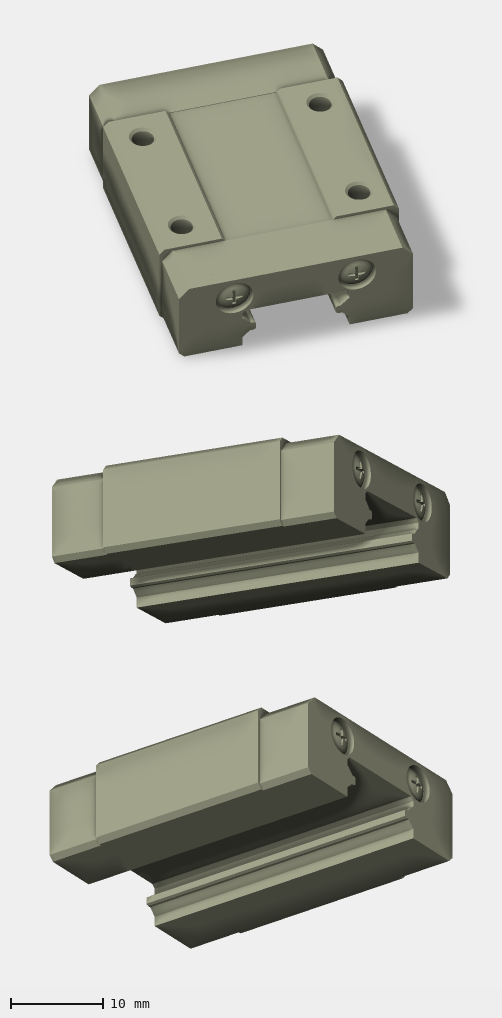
import cadquery as cq
import math

carriage_length = 34.7
block_length = 21.72
block_width = 27.0
block_height = 10.0
cap_width = 26.37
cap_height = 9.6
seal_thickness = 1.55

block_chamfer = 0.6
cap_top_chamfer = 1.18
bottom_chamfer = 0.6

groove_floor_width = 12.0
groove_depth = 0.45

channel_half_width = 6.05
channel_height = 4.95
channel_chamfer = 0.4
lip_half_gap = 4.5
lip_root_bottom = 5.2
lip_root_top = 5.05
lip_bevel_half_gap = 4.85
lip_start_z = 1.15
lip_bottom_z = 1.95
lip_edge_bottom_z = 2.08
lip_top_z = 3.0
lip_knee_half_gap = 5.83
lip_knee_z = 3.75
lip_end_z = 3.85
lip_edge_radius = 0.28

hole_spacing_x = 15.0
hole_spacing_y = 20.0
hole_diameter = 2.43
hole_mouth_diameter = 3.02
hole_depth = 4.0
drill_tip_angle = 118

screw_spacing = 13.8
screw_z = 7.0
screw_hole_diameter = 4.25
screw_head_diameter = 3.95
screw_rim_height = 0.8
screw_dome_height = 0.73
cross_length = 1.9
cross_width = 0.38
cross_depth = 0.4

seal_outer_x = carriage_length / 2
seal_inner_x = seal_outer_x - seal_thickness
block_end_x = block_length / 2

sides = (-1, 1)
end_angles = (0, 180)


def chamfered_outline(width, height, top_chamfer):
    """Cross-section outline in YZ with chamfered top and bottom corners."""
    half = width / 2
    right_side = [
        (half - bottom_chamfer, 0),
        (half, bottom_chamfer),
        (half, height - top_chamfer),
        (half - top_chamfer, height),
    ]
    left_side = [(-y, z) for y, z in reversed(right_side)]
    return right_side + left_side


def channel_outline():
    """Rail channel section in YZ, with a lip on each side, before the lip edges are rounded."""
    right_side = [
        (channel_half_width, 0),
        (channel_half_width, lip_start_z),
        (lip_root_bottom, lip_bottom_z),
        (lip_bevel_half_gap, lip_bottom_z),
        (lip_half_gap, lip_edge_bottom_z),
        (lip_half_gap, lip_top_z),
        (lip_root_top, lip_top_z),
        (lip_knee_half_gap, lip_knee_z),
        (channel_half_width, lip_end_z),
        (channel_half_width, channel_height - channel_chamfer),
        (channel_half_width - channel_chamfer, channel_height),
    ]
    left_side = [(-y, z) for y, z in reversed(right_side)]
    return right_side + left_side


def bar(outline, start_x, end_x):
    """Prism along X with the given YZ outline."""
    return cq.Workplane("YZ", origin=(start_x, 0, 0)).polyline(outline).close().extrude(end_x - start_x)


def cut_channel(body, start_x, end_x):
    """Cut the rail channel, rounding the upper edge of both lips."""
    channel = bar(channel_outline(), start_x, end_x)
    middle_x = (start_x + end_x) / 2
    for side in sides:
        lip_edge = cq.selectors.NearestToPointSelector((middle_x, side * lip_half_gap, lip_top_z))
        channel = channel.edges(lip_edge).fillet(lip_edge_radius)
    return body.cut(channel)


def mounting_hole_cutter():
    """Drilled hole with a chamfered mouth and a conical tip, opening upward at Z = 0."""
    radius = hole_diameter / 2
    mouth_radius = hole_mouth_diameter / 2
    tip_depth = radius / math.tan(math.radians(drill_tip_angle / 2))
    half_section = [
        (0, 0),
        (mouth_radius, 0),
        (radius, radius - mouth_radius),
        (radius, -hole_depth),
        (0, -hole_depth - tip_depth),
    ]
    return cq.Workplane("XZ").polyline(half_section).close().revolve(360, (0, 0), (0, 1))


def make_block():
    """Carriage block with a grooved top and four mounting holes."""
    body = bar(chamfered_outline(block_width, block_height, block_chamfer), -block_end_x, block_end_x)
    body = cut_channel(body, -block_end_x, block_end_x)
    floor_half = groove_floor_width / 2
    top_half = floor_half + groove_depth
    floor_z = block_height - groove_depth
    groove = [
        (-top_half, block_height),
        (-floor_half, floor_z),
        (floor_half, floor_z),
        (top_half, block_height),
    ]
    body = body.cut(bar(groove, -block_end_x, block_end_x))
    for side_x in sides:
        for side_y in sides:
            place = (side_x * hole_spacing_x / 2, side_y * hole_spacing_y / 2, block_height)
            body = body.cut(mounting_hole_cutter().translate(place))
    return body


def make_cap():
    """End cap at the +X end."""
    body = bar(chamfered_outline(cap_width, cap_height, cap_top_chamfer), block_end_x, seal_inner_x)
    return cut_channel(body, block_end_x, seal_inner_x)


def screw_plane(side, height=0):
    """Plane across a screw axis, at a height above the face the head sits on."""
    return cq.Workplane("YZ", origin=(seal_inner_x + height, side * screw_spacing / 2, screw_z))


def make_seal():
    """End seal at the +X end, with a through hole around each screw head."""
    body = bar(chamfered_outline(cap_width, cap_height, cap_top_chamfer), seal_inner_x, seal_outer_x)
    body = cut_channel(body, seal_inner_x, seal_outer_x)
    for side in sides:
        body = body.cut(screw_plane(side).circle(screw_hole_diameter / 2).extrude(seal_thickness))
    return body


def make_screw(side):
    """Domed screw head with a cross recess, seated on the end cap at the +X end."""
    radius = screw_head_diameter / 2
    apex = screw_rim_height + screw_dome_height
    sphere_radius = (radius**2 + screw_dome_height**2) / (2 * screw_dome_height)
    mid_radius = radius / 2
    mid_height = apex - sphere_radius + math.sqrt(sphere_radius**2 - mid_radius**2)
    head = (
        cq.Workplane("XY")
        .lineTo(0, radius)
        .lineTo(screw_rim_height, radius)
        .threePointArc((mid_height, mid_radius), (apex, 0))
        .close()
        .revolve(360, (0, 0), (1, 0))
        .translate((seal_inner_x, side * screw_spacing / 2, screw_z))
    )
    recess_floor = screw_plane(side, apex - cross_depth)
    for arm_y, arm_z in [(cross_length, cross_width), (cross_width, cross_length)]:
        head = head.cut(recess_floor.rect(arm_y, arm_z).extrude(cross_depth))
    return head


def turned(body, angle):
    """Turn a body about the vertical centre axis, to carry it to the other end."""
    return body.rotate((0, 0, 0), (0, 0, 1), angle)


block = make_block()
caps = [turned(make_cap(), angle) for angle in end_angles]
seals = [turned(make_seal(), angle) for angle in end_angles]
screws = [turned(make_screw(side), angle) for angle in end_angles for side in sides]
result = cq.Compound.makeCompound([body.val() for body in [block, *caps, *seals, *screws]])